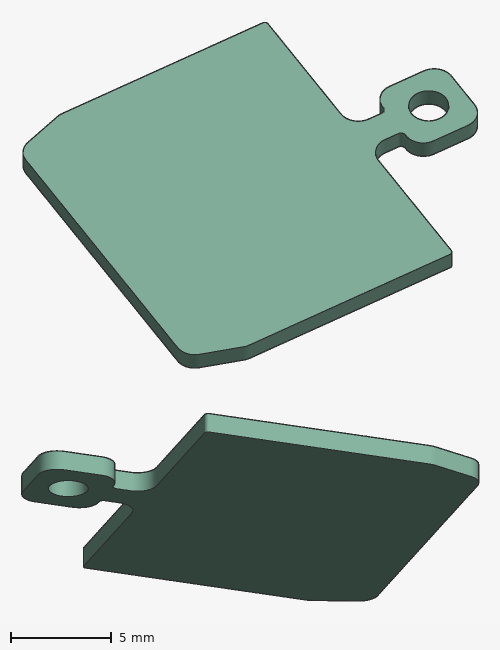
import cadquery as cq

length = 21.0
width = 18.0
thickness = 1.0
body_length = 15.0

taper_height = 3.0
taper_inset = 0.99
bottom_corner_radius = 1.0
taper_blend_radius = 1.0
top_corner_radius = 0.19

head_width = 4.25
head_length = 4.0
head_radius = 1.0
neck_width = 1.6
neck_head_radius = 0.25
neck_body_radius = 1.0
hole_diameter = 2.0
hole_from_top = 2.0

overlap = 0.2
half_width = width / 2
head_bottom = length - head_length


def edges_at(x, y):
    """Select the vertical edges at (x, y) and its mirror image about X = 0."""
    reach = 0.02
    selectors = [
        cq.selectors.BoxSelector((side * x - reach, y - reach, -reach),
                                 (side * x + reach, y + reach, thickness + reach))
        for side in (-1, 1)
    ]
    return selectors[0] + selectors[1]


def make_body():
    return (
        cq.Workplane("XY")
        .moveTo(-half_width + taper_inset, 0)
        .lineTo(half_width - taper_inset, 0)
        .lineTo(half_width, taper_height)
        .lineTo(half_width, body_length)
        .lineTo(-half_width, body_length)
        .lineTo(-half_width, taper_height)
        .close()
        .extrude(thickness)
    )


def make_tab():
    head = (
        cq.Workplane("XY")
        .center(0, length - head_length / 2)
        .rect(head_width, head_length)
        .extrude(thickness)
    )
    neck = (
        cq.Workplane("XY")
        .center(0, (body_length + head_bottom) / 2)
        .rect(neck_width, head_bottom - body_length + 2 * overlap)
        .extrude(thickness)
    )
    return head.union(neck)


result = make_body().union(make_tab())

corners = [
    (half_width - taper_inset, 0, bottom_corner_radius),
    (half_width, taper_height, taper_blend_radius),
    (half_width, body_length, top_corner_radius),
    (neck_width / 2, body_length, neck_body_radius),
    (neck_width / 2, head_bottom, neck_head_radius),
    (head_width / 2, head_bottom, head_radius),
    (head_width / 2, length, head_radius),
]
for x, y, radius in corners:
    result = result.edges(edges_at(x, y)).fillet(radius)

hole = (
    cq.Workplane("XY")
    .center(0, length - hole_from_top)
    .circle(hole_diameter / 2)
    .extrude(thickness)
)
result = result.cut(hole)